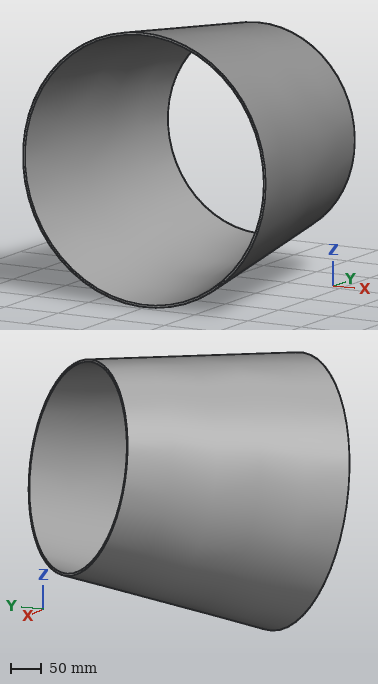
import cadquery as cq

large_diameter = 457.0
small_diameter = 355.5
length = 381.0
wall = 4.0

large_radius = large_diameter / 2
small_radius = small_diameter / 2

wall_section = (
    cq.Workplane("XY")
    .moveTo(large_radius - wall, 0)
    .lineTo(large_radius, 0)
    .lineTo(small_radius, length)
    .lineTo(small_radius - wall, length)
    .close()
)

result = wall_section.revolve(360, (0, 0, 0), (0, 1, 0))